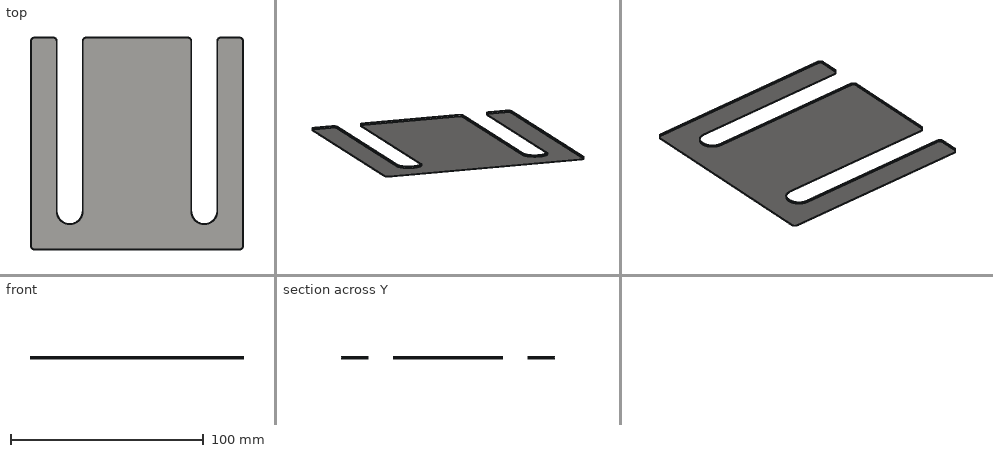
import cadquery as cq

side = 110.0
thickness = 1.0
corner_radius = 2.0

slot_width = 13.3
slot_offset = 34.9
slot_floor = 13.3

slot_radius = slot_width / 2
slot_end_y = -side / 2 + slot_floor + slot_radius


def open_slot(center_x):
    """Cutter with a round inner end, running out through the +Y edge."""
    left = center_x - slot_radius
    right = center_x + slot_radius
    return (
        cq.Workplane("XY")
        .moveTo(left, side / 2)
        .lineTo(left, slot_end_y)
        .threePointArc((center_x, slot_end_y - slot_radius), (right, slot_end_y))
        .lineTo(right, side / 2)
        .close()
        .extrude(thickness)
    )


plate = cq.Workplane("XY").rect(side, side).extrude(thickness)
for center_x in (-slot_offset, slot_offset):
    plate = plate.cut(open_slot(center_x))

result = plate.edges("|Z").edges("<Y or >Y").fillet(corner_radius)